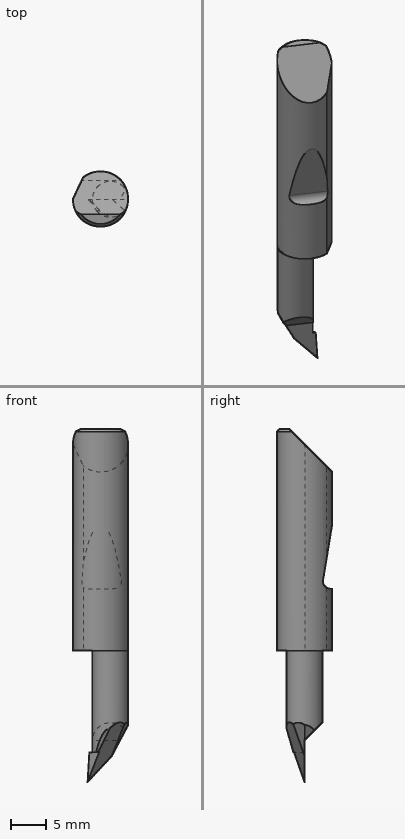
import cadquery as cq
import math

total_length = 50.45
shank_radius = 3.96
shank_bottom = 18.75
shank_chamfer = 0.4

slope_start_y = -2.15

flat_arc_degrees = 51.0

notch_top = 36.8
notch_bottom = 27.65
notch_floor_y = 2.45
notch_floor_radius = 1.0

neck_radius = 2.55
neck_center_x = shank_radius - neck_radius
neck_relief_top = 8.55

tip_x = -1.85
nib_height = 4.25
nib_top_x = -1.6
corner_x = 1.6
corner_z = 3.75
edge_end_z = 8.15

front_relief_low = (-1.55, 4.15)
front_relief_high = (-neck_radius, 7.65)

relief_corner = (-0.25, -1.45, 4.15)
upper_relief_x = 3.6
upper_relief_z = 8.4

cutter_size = 40.35


def cut_beyond_plane(body, first, second, third):
    """Cut away everything on the side the normal (second-first) x (third-first) points to."""
    origin = cq.Vector(*first)
    along = cq.Vector(*second) - origin
    normal = along.cross(cq.Vector(*third) - origin)
    plane = cq.Plane(origin=origin, xDir=along, normal=normal)
    cutter = cq.Workplane(plane).rect(cutter_size, cutter_size).extrude(cutter_size)
    return body.cut(cutter)


def extrude_across_x(points):
    """Close a YZ outline and extrude it symmetrically past both sides of the part."""
    return cq.Workplane("YZ").polyline(points).close().extrude(shank_radius * 2, both=True)


def make_shank():
    shank = (
        cq.Workplane("XY", origin=(0, 0, shank_bottom))
        .circle(shank_radius)
        .extrude(total_length - shank_bottom)
        .faces(">Z")
        .chamfer(shank_chamfer)
    )

    slope_run = 2 * shank_radius
    slope = extrude_across_x([
        (slope_start_y, total_length),
        (slope_start_y + slope_run, total_length),
        (slope_start_y + slope_run, total_length - slope_run),
    ])

    flat_distance = shank_radius * math.cos(math.radians(flat_arc_degrees / 2))
    flat = (
        cq.Workplane("XY")
        .center(-flat_distance - shank_radius / 2, 0)
        .rect(shank_radius, 2 * shank_radius)
        .extrude(total_length)
        .rotate((0, 0, 0), (0, 0, 1), -flat_arc_degrees / 2)
    )

    notch = extrude_across_x([
        (shank_radius, notch_top),
        (notch_floor_y, notch_bottom),
        (shank_radius, notch_bottom),
    ]).edges("|X").edges("<Y").fillet(notch_floor_radius)

    return shank.cut(slope).cut(flat).cut(notch)


def make_neck_and_tip():
    neck = (
        cq.Workplane("XY", origin=(neck_center_x, 0, nib_height))
        .circle(neck_radius)
        .extrude(shank_bottom - nib_height)
    )

    nib = (
        cq.Workplane("XZ")
        .polyline([
            (tip_x, 0),
            (corner_x, corner_z),
            (shank_radius, nib_height),
            (nib_top_x, nib_height),
        ])
        .close()
        .extrude(neck_radius)
    )
    tip = (tip_x, 0, 0)
    nib = cut_beyond_plane(nib, tip, relief_corner, (nib_top_x, 0, nib_height))
    body = neck.union(nib)

    profile = extrude_across_x([
        (neck_radius, shank_bottom),
        (neck_radius, neck_relief_top),
        (0, neck_relief_top - neck_radius),
        (0, 0),
        front_relief_low,
        front_relief_high,
        (-neck_radius, shank_bottom),
    ])
    body = body.intersect(profile)

    corner = (corner_x, 0, corner_z)
    edge_end = (shank_radius, 0, edge_end_z)
    upper_relief_y = -math.sqrt(neck_radius**2 - (upper_relief_x - neck_center_x) ** 2)
    upper_relief = (upper_relief_x, upper_relief_y, upper_relief_z)
    body = cut_beyond_plane(body, tip, corner, relief_corner)
    body = cut_beyond_plane(body, corner, edge_end, upper_relief)

    square_to_rake = (corner_x, -neck_radius, corner_z)
    return cut_beyond_plane(body, corner, edge_end, square_to_rake)


result = make_shank().union(make_neck_and_tip())